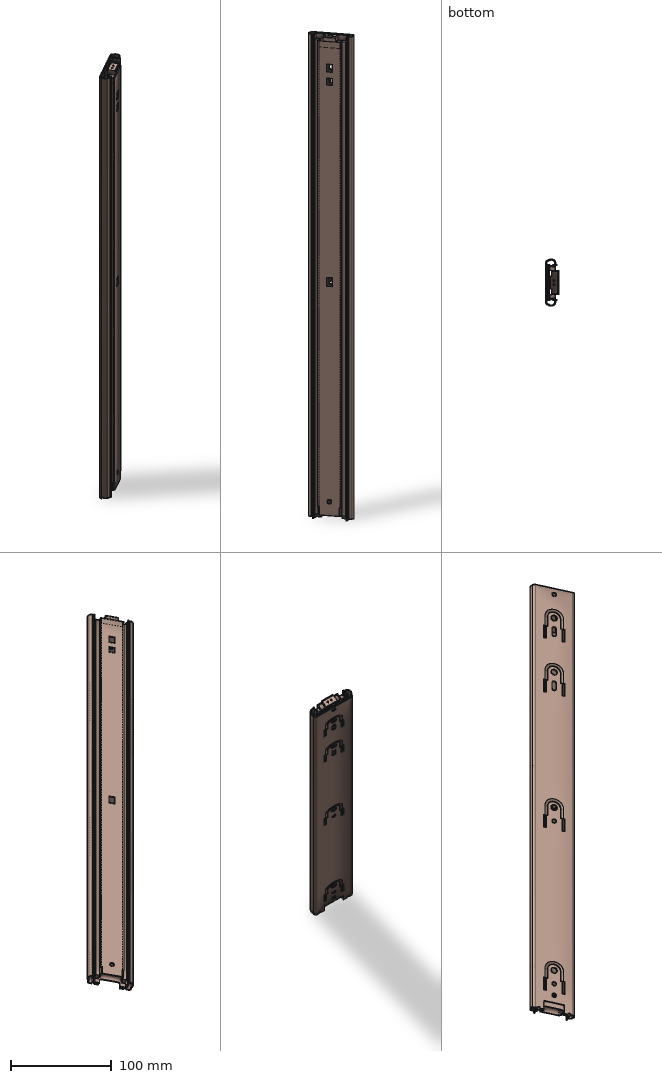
import cadquery as cq
import math

LENGTH = 500.0
TOP = LENGTH / 2
BOTTOM = -LENGTH / 2
DEPTH = 13.0
SHEET = 1.2
THROUGH = 3 * DEPTH

OUTER_HALF_WIDTH = 23.5
OUTER_DEPTH = 10.0
RACE_START = 2.5
RACE_END = 8.5
RACE_SAG = 1.0
RACE_MIDDLE = (RACE_START + RACE_END) / 2
SHOULDER_HALF_WIDTH = OUTER_HALF_WIDTH - RACE_SAG
CORNER_RADIUS = RACE_START
LIP_HALF_WIDTH = 20.0
LIP_BULGE = 0.25
OUTER_MOUTH = 19.0
SIDE_SETBACK = 1.5

MIDDLE_BACK = 2.5
MIDDLE_FRONT = 11.0
MIDDLE_HALF_WIDTH = 18.0
MIDDLE_TOP = 249.5
MIDDLE_RACE_DEPTH = 1.0
MIDDLE_RACE_HALF_HEIGHT = 2.0

INNER_BACK = 6.0
INNER_HALF_WIDTH = 12.0
INNER_TOP = 244.5
INNER_BOTTOM = -245.5
INNER_BEVEL = 2.0
BEVEL_LENGTH = 9.0

RETAINER_BACK = 4.0
RETAINER_FRONT = 9.5

STOP_BACK = 4.5
STOP_HALF_WIDTH = 6.5
STOP_HEAD_TOP = 248.5
STOP_HEIGHT = 12.0
STOP_HOLE = 1.5
STOP_HOLE_OFFSET = 2.0

STATION_PITCHES = (0, 64.0, 224.0, 416.5)
STATION_START = 35.0
SLOTTED_STATIONS = 2
STATIONS = [TOP - STATION_START - pitch for pitch in STATION_PITCHES]
STATION_HOLE = 6.5
SMALL_HOLE = 4.5
SMALL_HOLE_DROP = 16.0
SLOT_LENGTH = 11.0
GROOVE_OUTER = 10.0
GROOVE_INNER = 7.0
GROOVE_DEPTH = 1.0
LEG_LENGTH = 11.0
SLIT_LENGTH = 14.5
SLIT_WIDTH = 3.0
SLIT_CENTRE = 10.0
SLIT_CORE = 1.5
RIVET_HOLE_DROP = 7.0
BOTTOM_HOLE_HEIGHT = 19.0

NOTCH_HALF_WIDTH = 11.0
NOTCH_HEIGHT = 10.0
END_NICK_OFFSET = 16.5
END_NICK_RADIUS = 1.5
MIDDLE_NOTCH_HALF_WIDTH = 10.5
MIDDLE_NOTCH_HEIGHT = 5.5
MIDDLE_NOTCH_RADIUS = 2.5

WINDOW_WIDTH = 6.0
WINDOWS = ((199.5, 7.0), (213.0, 8.0), (-8.5, 9.0))


def block(x_range, y_range, z_range):
    """Box between three pairs of limits."""
    sizes = [high - low for low, high in (x_range, y_range, z_range)]
    corner = (x_range[0], y_range[0], z_range[0])
    return cq.Workplane("XY").box(*sizes, centered=False).translate(corner)


def cross_bore(diameter, y, z):
    """Cylinder along X through the whole slide."""
    drill = cq.Workplane("YZ").center(y, z).circle(diameter / 2).extrude(THROUGH)
    return drill.translate((-DEPTH, 0, 0))


def back_bore(diameter, z, height=None):
    """Round hole, or upright slot when a height is given, through the outer member's back."""
    plane = cq.Workplane("YZ").center(0, z)
    if height is None:
        return plane.circle(diameter / 2).extrude(SHEET)
    return plane.slot2D(height, diameter, 90).extrude(SHEET)


def channel(outline, bottom, top):
    """Hollow sheet profile following a closed outline."""
    hollow = outline.offset2D(-SHEET)
    height = top - bottom
    solid = outline.toPending().extrude(height)
    core = hollow.toPending().extrude(height)
    return solid.cut(core).translate((0, 0, bottom))


def outer_outline():
    corner_mid = CORNER_RADIUS * (1 - math.sqrt(0.5))
    lip_x = (RACE_END + OUTER_DEPTH) / 2 + LIP_BULGE
    lip_y = (SHOULDER_HALF_WIDTH + LIP_HALF_WIDTH) / 2 + LIP_BULGE
    web_half = SHOULDER_HALF_WIDTH - CORNER_RADIUS
    return (
        cq.Workplane("XY")
        .moveTo(0, -web_half)
        .lineTo(0, web_half)
        .threePointArc((corner_mid, SHOULDER_HALF_WIDTH - corner_mid), (RACE_START, SHOULDER_HALF_WIDTH))
        .threePointArc((RACE_MIDDLE, OUTER_HALF_WIDTH), (RACE_END, SHOULDER_HALF_WIDTH))
        .threePointArc((lip_x, lip_y), (OUTER_DEPTH, LIP_HALF_WIDTH))
        .lineTo(OUTER_DEPTH, -LIP_HALF_WIDTH)
        .threePointArc((lip_x, -lip_y), (RACE_END, -SHOULDER_HALF_WIDTH))
        .threePointArc((RACE_MIDDLE, -OUTER_HALF_WIDTH), (RACE_START, -SHOULDER_HALF_WIDTH))
        .threePointArc((corner_mid, corner_mid - SHOULDER_HALF_WIDTH), (0, -web_half))
        .close()
    )


def arch_groove(z):
    """Arched groove with straight legs; its outer wall slopes in and its inner wall is square."""
    section = [(0, GROOVE_OUTER), (GROOVE_DEPTH, GROOVE_INNER), (0, GROOVE_INNER)]
    arch = cq.Workplane("XY").polyline(section).close().revolve(180, (0, 0), (1, 0))
    leg = cq.Workplane("XY").polyline(section).close().extrude(-LEG_LENGTH)
    return arch.union(leg).union(leg.mirror("XZ")).translate((0, 0, z))


def side_slit(y, z):
    """Stepped slit below a groove leg: a shallow recess with a narrow slit along its middle."""
    z_range = (z - LEG_LENGTH - SLIT_LENGTH, z - LEG_LENGTH)
    recess = block((0, SHEET / 2), (y - SLIT_WIDTH / 2, y + SLIT_WIDTH / 2), z_range)
    core = block((0, SHEET), (y - SLIT_CORE / 2, y + SLIT_CORE / 2), z_range)
    return recess.union(core)


def make_outer_member():
    body = channel(outer_outline().wire(), BOTTOM, TOP)
    body = body.cut(block((RACE_MIDDLE, DEPTH), (-OUTER_MOUTH, OUTER_MOUTH), (BOTTOM, TOP)))
    sides = (-OUTER_HALF_WIDTH, OUTER_HALF_WIDTH)
    body = body.cut(block((RACE_START, DEPTH), sides, (BOTTOM, BOTTOM + SIDE_SETBACK)))
    for index, z in enumerate(STATIONS):
        body = body.cut(arch_groove(z)).cut(back_bore(STATION_HOLE, z))
        slot_length = SLOT_LENGTH if index < SLOTTED_STATIONS else None
        body = body.cut(back_bore(SMALL_HOLE, z - SMALL_HOLE_DROP, slot_length))
        for side in (-1, 1):
            body = body.cut(side_slit(side * SLIT_CENTRE, z))
    body = body.cut(back_bore(SMALL_HOLE, TOP - RIVET_HOLE_DROP))
    body = body.cut(back_bore(SMALL_HOLE, BOTTOM + BOTTOM_HOLE_HEIGHT))
    notch_width = (-NOTCH_HALF_WIDTH, NOTCH_HALF_WIDTH)
    body = body.cut(block((0, SHEET), notch_width, (BOTTOM, BOTTOM + NOTCH_HEIGHT)))
    for side in (-1, 1):
        body = body.cut(cross_bore(2 * END_NICK_RADIUS, side * END_NICK_OFFSET, BOTTOM))
    return body


def cut_web_openings(body):
    """Clearance windows and the bottom hole shared by the two moving members."""
    for bottom, height in WINDOWS:
        y_range = (-WINDOW_WIDTH / 2, WINDOW_WIDTH / 2)
        body = body.cut(block((0, DEPTH), y_range, (bottom, bottom + height)))
    return body.cut(cross_bore(SMALL_HOLE, 0, BOTTOM + BOTTOM_HOLE_HEIGHT))


def make_intermediate_member():
    race_back = RACE_MIDDLE - MIDDLE_RACE_HALF_HEIGHT
    race_front = RACE_MIDDLE + MIDDLE_RACE_HALF_HEIGHT
    race_floor = MIDDLE_HALF_WIDTH - MIDDLE_RACE_DEPTH
    outline = (
        cq.Workplane("XY")
        .moveTo(MIDDLE_BACK, -MIDDLE_HALF_WIDTH)
        .lineTo(MIDDLE_BACK, MIDDLE_HALF_WIDTH)
        .lineTo(race_back, MIDDLE_HALF_WIDTH)
        .threePointArc((RACE_MIDDLE, race_floor), (race_front, MIDDLE_HALF_WIDTH))
        .lineTo(MIDDLE_FRONT, MIDDLE_HALF_WIDTH)
        .lineTo(MIDDLE_FRONT, -MIDDLE_HALF_WIDTH)
        .lineTo(race_front, -MIDDLE_HALF_WIDTH)
        .threePointArc((RACE_MIDDLE, -race_floor), (race_back, -MIDDLE_HALF_WIDTH))
        .close()
    )
    body = channel(outline.wire(), BOTTOM, MIDDLE_TOP)
    mouth = MIDDLE_HALF_WIDTH - SHEET
    body = body.cut(block((MIDDLE_FRONT - SHEET, DEPTH), (-mouth, mouth), (BOTTOM, TOP)))
    notch = block(
        (0, RACE_MIDDLE),
        (-MIDDLE_NOTCH_HALF_WIDTH, MIDDLE_NOTCH_HALF_WIDTH),
        (BOTTOM, BOTTOM + MIDDLE_NOTCH_HEIGHT),
    )
    notch = notch.edges("|X and >Z").fillet(MIDDLE_NOTCH_RADIUS)
    return cut_web_openings(body.cut(notch))


def make_inner_member():
    outline = cq.Workplane("XY").center((INNER_BACK + DEPTH) / 2, 0)
    outline = outline.rect(DEPTH - INNER_BACK, 2 * INNER_HALF_WIDTH)
    body = channel(outline.wire(), INNER_BOTTOM, INNER_TOP)
    mouth = INNER_HALF_WIDTH - SHEET
    body = body.cut(block((INNER_BACK, INNER_BACK + SHEET), (-mouth, mouth), (BOTTOM, TOP)))
    bevel = (
        cq.Workplane("XY", origin=(DEPTH, INNER_HALF_WIDTH, INNER_BOTTOM))
        .polyline([(0, 0), (-INNER_BEVEL, 0), (0, -INNER_BEVEL)])
        .close()
        .extrude(BEVEL_LENGTH)
    )
    body = body.cut(bevel).cut(bevel.mirror("XZ"))
    return cut_web_openings(body)


def make_retainer(side):
    """Ball retainer strip filling the gap between the inner and intermediate members."""
    near = INNER_HALF_WIDTH
    far = MIDDLE_HALF_WIDTH - MIDDLE_RACE_DEPTH - SHEET
    y_range = sorted((side * near, side * far))
    return block((RETAINER_BACK, RETAINER_FRONT), y_range, (INNER_BOTTOM, INNER_TOP))


def make_stop():
    """Stop block: its foot fills the inner member's channel and its head covers the end of the web."""
    front = DEPTH - SHEET
    foot_half = INNER_HALF_WIDTH - SHEET
    y_range = (-STOP_HALF_WIDTH, STOP_HALF_WIDTH)
    plug = block((STOP_BACK, front), y_range, (TOP - STOP_HEIGHT, TOP))
    foot = block((INNER_BACK, front), (-foot_half, foot_half), (TOP - STOP_HEIGHT, INNER_TOP))
    head = block((front, DEPTH), y_range, (INNER_TOP, STOP_HEAD_TOP))
    body = plug.union(foot).union(head)
    for side in (-1, 1):
        drill = cq.Workplane("XY", origin=(0, 0, TOP - STOP_HEIGHT))
        drill = drill.center((STOP_BACK + front) / 2, side * STOP_HOLE_OFFSET)
        body = body.cut(drill.circle(STOP_HOLE / 2).extrude(STOP_HEIGHT))
    return body


outer_member = make_outer_member()
intermediate_member = make_intermediate_member()
inner_member = make_inner_member()
stop = make_stop()
retainers = [make_retainer(side) for side in (-1, 1)]

result = cq.Compound.makeCompound(
    [
        outer_member.val(),
        intermediate_member.val(),
        inner_member.val(),
        stop.val(),
        *[retainer.val() for retainer in retainers],
    ]
)